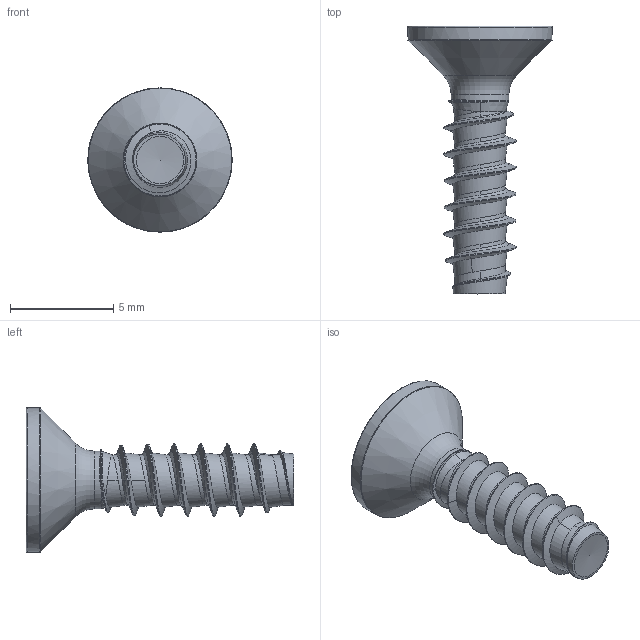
import cadquery as cq
import math


length = 13.0
head_radius = 3.5
rim_height = 0.68
rim_round = 0.05
shank_radius = 1.4
shank_end_depth = 3.64
neck_radius = 1.33

core_radius = 1.235
core_cone_length = 0.52
dimple_radius = 1.14
dimple_depth = 0.07

crest_radius = 1.75
pitch = 1.29
crest_half_width = 0.025
bend_radius = 1.39
bend_offset = 0.15
head_root_offset = 0.28
ramp_radius = 1.32
ramp_start_offset = 0.16
ramp_end_offset = 0.83
sink = 0.01
ramp_slope = (ramp_radius - core_radius) / (ramp_end_offset - ramp_start_offset)
buried_ramp_radius = 1.0
buried_radius = 0.6
ramp_overlap = 0.08

lead_in_turn = -0.5
helix_start_turn = 0.0
full_start_turn = 1.0
full_end_turn = 5.8
vanish_turn = (length - shank_end_depth) / pitch
overrun_turn = vanish_turn + 0.1
points_per_turn = 24


def body():
    """Head, shank and core as one revolved solid."""
    cone_foot_depth = rim_height + head_radius - shank_radius
    neck_tangent = neck_radius * math.tan(math.radians(45) / 2)
    neck_step = neck_tangent * math.sin(math.radians(45))
    neck_end_depth = cone_foot_depth + neck_tangent
    neck_mid_angle = math.radians(45) / 2
    neck_mid = (
        shank_radius + neck_radius * (1 - math.cos(neck_mid_angle)),
        -neck_end_depth + neck_radius * math.sin(neck_mid_angle),
    )
    outline = (
        cq.Workplane("ZY")
        .lineTo(head_radius, 0)
        .lineTo(head_radius, -rim_height)
        .lineTo(shank_radius + neck_step, -cone_foot_depth + neck_step)
        .threePointArc(neck_mid, (shank_radius, -neck_end_depth))
        .lineTo(shank_radius, -shank_end_depth)
        .lineTo(core_radius, -shank_end_depth - core_cone_length)
        .lineTo(core_radius, -length)
        .lineTo(0, -length)
        .close()
    )
    turned = outline.revolve(360, (0, 0, 0), (0, 1, 0))
    return turned.edges(cq.selectors.RadiusNthSelector(-1)).fillet(rim_round)


def crest_at(turn):
    """Crest radius: rises over the run-in, stays full, then falls to the core at the tip."""
    if turn < full_start_turn:
        share = (turn - lead_in_turn) / (full_start_turn - lead_in_turn)
        return shank_radius + share * (crest_radius - shank_radius)
    if turn > full_end_turn:
        share = (turn - full_end_turn) / (vanish_turn - full_end_turn)
        return crest_radius + share * (core_radius - crest_radius)
    return crest_radius


def ramp_height(offset):
    """Radius of the ramp line at an axial offset from the crest centre."""
    return ramp_radius - ramp_slope * (offset - ramp_start_offset)


def ridge_profile(turn):
    """(radius, axial offset) points of the ridge, sunk into the core where the crest is low."""
    sunk = crest_radius - crest_at(turn)
    return [
        (buried_radius, -head_root_offset),
        (core_radius - sunk - sink, -head_root_offset),
        (bend_radius - sunk, -bend_offset),
        (crest_radius - sunk, -crest_half_width),
        (crest_radius - sunk, crest_half_width),
        (ramp_radius - sunk, ramp_start_offset),
        (buried_radius, ramp_start_offset),
    ]


def ramp_profile(turn):
    """(radius, axial offset) points of the ramp, lowered only where the crest sinks below it."""
    lowered = max(0, ramp_height(0) - crest_at(turn))
    ramp_tail_offset = ramp_end_offset + ramp_overlap
    return [
        (buried_ramp_radius, 0),
        (ramp_height(0) - lowered, 0),
        (ramp_height(ramp_tail_offset) - lowered, ramp_tail_offset),
        (buried_ramp_radius, ramp_tail_offset),
    ]


def thread_profile(turn):
    """Ridge and ramp together, meeting where the sunk tip-side flank crosses the ramp."""
    ridge = ridge_profile(turn)
    ramp = ramp_profile(turn)
    crest_end, crest_end_offset = ridge[4]
    ramp_top = ramp[1][0]
    flank_slope = (crest_radius - ramp_radius) / (ramp_start_offset - crest_half_width)
    excess = crest_end + flank_slope * crest_end_offset - ramp_top
    meeting_offset = excess / (flank_slope - ramp_slope)
    meeting_radius = ramp_top - ramp_slope * meeting_offset
    ramp_tail = ramp[2]
    return ridge[:5] + [(meeting_radius, meeting_offset), ramp_tail, (buried_radius, ramp_tail[1])]


def thread_segment(start_turn, end_turn, profile, lead):
    """Solid swept by the profile between two turns, advancing by lead per turn."""

    def section(turn):
        angle = 2 * math.pi * turn
        depth = shank_end_depth + lead * turn
        return [
            cq.Vector(-radius * math.cos(angle), -depth - offset, -radius * math.sin(angle))
            for radius, offset in profile(turn)
        ]

    steps = math.ceil((end_turn - start_turn) * points_per_turn)
    sections = [section(start_turn + (end_turn - start_turn) * i / steps) for i in range(steps + 1)]
    rails = [cq.Edge.makeSpline(list(track)) for track in zip(*sections)]
    faces = [cq.Face.makeRuledSurface(rails[i - 1], rails[i]) for i in range(len(rails))]
    for cap in (sections[0], sections[-1]):
        faces.append(cq.Face.makeFromWires(cq.Wire.makePolygon(cap, close=True)))
    solid = cq.Solid.makeSolid(cq.Shell.makeShell(faces))
    return cq.Workplane(solid.fix())


def below_tip():
    """Block that trims the thread flush with the tip."""
    size = 2 * head_radius
    return cq.Workplane("XY").box(size, size, size).translate((0, -length - size / 2, 0))


def tip_dimple():
    """Shallow conical hollow in the tip face."""
    cone = cq.Solid.makeCone(
        dimple_radius, 0, dimple_depth, pnt=cq.Vector(0, -length, 0), dir=cq.Vector(0, 1, 0)
    )
    return cq.Workplane(cone)


screw = body()
helix_turns = [helix_start_turn, full_start_turn, full_end_turn, overrun_turn]
segments = [thread_segment(a, b, thread_profile, pitch) for a, b in zip(helix_turns, helix_turns[1:])]
segments.append(thread_segment(lead_in_turn, helix_start_turn, ridge_profile, 0))
segments.append(thread_segment(lead_in_turn, helix_start_turn, ramp_profile, pitch))
for segment in segments:
    screw = screw.union(segment.cut(below_tip()))
result = screw.cut(tip_dimple())